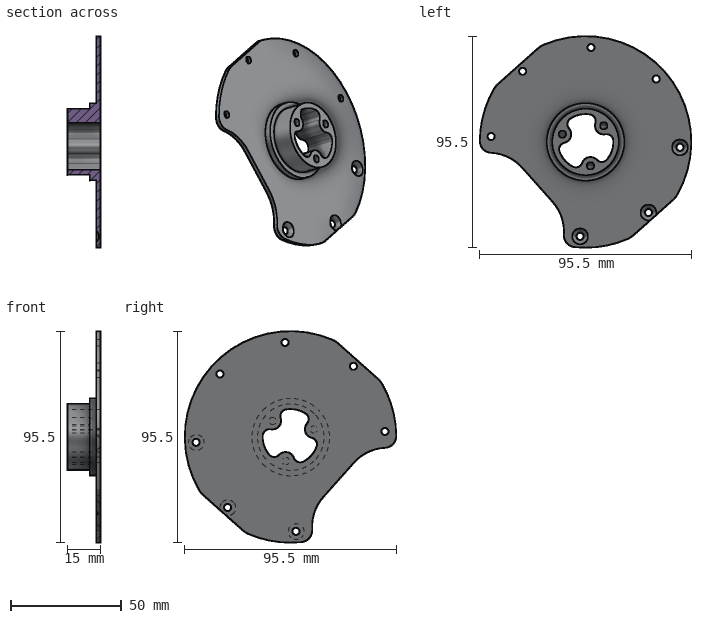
import cadquery as cq
import math

PLATE_RADIUS = 47.75
PLATE_THICKNESS = 2.0
FLAT_DISTANCE = 45.8
FLAT_END_RADIUS = 10.0
NOTCH_FLOOR = 29.1
NOTCH_ARC_RADIUS = 20.0
CORNER_RADIUS = 5.5
CORNER_TIP = 36.7

SYMMETRY_TURN = -48.3

BOLT_CIRCLE_RADIUS = 42.65
SCREW_DIAMETER = 3.1
COUNTERSINK_DIAMETER = SCREW_DIAMETER + 2 * PLATE_THICKNESS
PLAIN_HOLE_ANGLES = (90, 135, 180, 225)
COUNTERSUNK_HOLE_ANGLES = (-45, 0, 45)

COLLAR_DIAMETER = 35.0
COLLAR_HEIGHT = 3.0
TUBE_DIAMETER = 30.0
TUBE_HEIGHT = 10.0
TOTAL_HEIGHT = PLATE_THICKNESS + COLLAR_HEIGHT + TUBE_HEIGHT

BORE_RADIUS = 12.5
LUG_CIRCLE_RADIUS = 11.0
LUG_RADIUS = 4.0
LUG_FILLET = 3.0
PILOT_DIAMETER = 3.3
PILOT_DEPTH = 10.0
DRILL_TIP_ANGLE = 118.0
TIPPED_PILOT_ANGLES = (90, 330)
FLAT_PILOT_ANGLES = (210,)
LUG_ANGLES = TIPPED_PILOT_ANGLES + FLAT_PILOT_ANGLES


def polar(radius, angle):
    """Point at a radius and an angle in degrees."""
    return (radius * math.cos(math.radians(angle)), radius * math.sin(math.radians(angle)))


def toward(start, end, distance):
    """Point at a distance from start on the line to end."""
    length = math.dist(start, end)
    return tuple(a + (b - a) * distance / length for a, b in zip(start, end))


def mirrored(point):
    """Reflection of a point across the symmetry line of the plate."""
    return (-point[0], point[1])


def arc_middle(center, start, end, radius):
    """Point halfway along the short arc from start to end."""
    chord_middle = ((start[0] + end[0]) / 2, (start[1] + end[1]) / 2)
    return toward(center, chord_middle, radius)


def make_plate():
    """Plate in the local frame: symmetric about Y, notch toward -Y, back face on Z = 0."""
    axis = (0, 0)
    corner_y = CORNER_RADIUS - CORNER_TIP
    corner = (math.sqrt((PLATE_RADIUS - CORNER_RADIUS) ** 2 - corner_y**2), corner_y)
    sweep_y = -NOTCH_FLOOR - NOTCH_ARC_RADIUS
    centers_apart = NOTCH_ARC_RADIUS + CORNER_RADIUS
    sweep = (corner[0] - math.sqrt(centers_apart**2 - (corner_y - sweep_y) ** 2), sweep_y)

    floor_end = (sweep[0], -NOTCH_FLOOR)
    sweep_end = toward(sweep, corner, NOTCH_ARC_RADIUS)
    rim_start = toward(axis, corner, PLATE_RADIUS)
    sweep_middle = arc_middle(sweep, floor_end, sweep_end, NOTCH_ARC_RADIUS)
    corner_middle = arc_middle(corner, sweep_end, rim_start, CORNER_RADIUS)

    outline = (
        cq.Workplane("XY")
        .moveTo(*mirrored(floor_end))
        .lineTo(*floor_end)
        .threePointArc(sweep_middle, sweep_end)
        .threePointArc(corner_middle, rim_start)
        .threePointArc((0, PLATE_RADIUS), mirrored(rim_start))
        .threePointArc(mirrored(corner_middle), mirrored(sweep_end))
        .threePointArc(mirrored(sweep_middle), mirrored(floor_end))
        .close()
    )
    between_flats = cq.Workplane("XY").rect(2 * FLAT_DISTANCE, 2 * PLATE_RADIUS)
    plate = outline.extrude(PLATE_THICKNESS).intersect(between_flats.extrude(PLATE_THICKNESS))
    flat_ends = plate.faces("<X or >X").edges("|Z")
    return flat_ends.fillet(FLAT_END_RADIUS)


def make_hub():
    """Collar and tube, from the plate's back face up."""
    collar = cq.Workplane("XY").circle(COLLAR_DIAMETER / 2).extrude(PLATE_THICKNESS + COLLAR_HEIGHT)
    tube = cq.Workplane("XY").circle(TUBE_DIAMETER / 2).extrude(TOTAL_HEIGHT)
    return collar.union(tube)


def make_bore():
    """Three-lobed opening through the whole part."""
    lug_centers = [polar(LUG_CIRCLE_RADIUS, angle) for angle in LUG_ANGLES]
    lugs = cq.Workplane("XY").pushPoints(lug_centers).circle(LUG_RADIUS).extrude(TOTAL_HEIGHT)
    bore = cq.Workplane("XY").circle(BORE_RADIUS).extrude(TOTAL_HEIGHT).cut(lugs)
    return bore.edges("|Z").fillet(LUG_FILLET)


def make_screw_holes():
    """Plain and countersunk holes around the plate."""
    angles = PLAIN_HOLE_ANGLES + COUNTERSUNK_HOLE_ANGLES
    centers = [polar(BOLT_CIRCLE_RADIUS, angle) for angle in angles]
    holes = cq.Workplane("XY").pushPoints(centers).circle(SCREW_DIAMETER / 2).extrude(PLATE_THICKNESS)
    for angle in COUNTERSUNK_HOLE_ANGLES:
        center = cq.Vector(*polar(BOLT_CIRCLE_RADIUS, angle), 0)
        cone = cq.Solid.makeCone(SCREW_DIAMETER / 2, COUNTERSINK_DIAMETER / 2, PLATE_THICKNESS, center)
        holes = holes.union(cq.Workplane(cone))
    return holes


def make_pilot_hole(angle, tipped):
    """Blind hole in the end of a lug, with a drill tip or a flat bottom."""
    radius = PILOT_DIAMETER / 2
    bottom = TOTAL_HEIGHT - PILOT_DEPTH
    tip_height = radius / math.tan(math.radians(DRILL_TIP_ANGLE / 2)) if tipped else 0
    profile = (
        cq.Workplane("XZ")
        .moveTo(0, TOTAL_HEIGHT)
        .lineTo(radius, TOTAL_HEIGHT)
        .lineTo(radius, bottom)
        .lineTo(0, bottom - tip_height)
        .close()
    )
    hole = profile.revolve(360, (0, 0), (0, 1))
    return hole.translate((*polar(LUG_CIRCLE_RADIUS, angle), 0))


part = make_plate().union(make_hub())
part = part.cut(make_bore()).cut(make_screw_holes())
for lug_angle in LUG_ANGLES:
    part = part.cut(make_pilot_hole(lug_angle, lug_angle in TIPPED_PILOT_ANGLES))

turn = math.radians(SYMMETRY_TURN)
part_frame = cq.Plane(
    origin=(0, 0, 0),
    xDir=(0, -math.cos(turn), math.sin(turn)),
    normal=(-1, 0, 0),
)
result = cq.Workplane(part.val().moved(cq.Location(part_frame)))